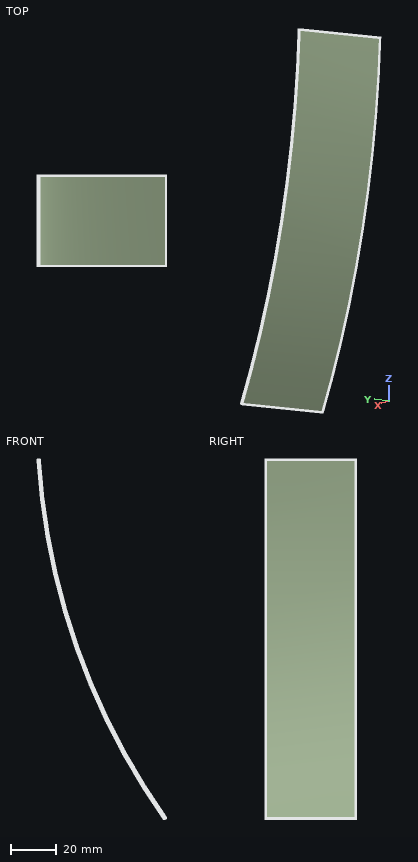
import cadquery as cq
import math

OUTER_RADIUS = 310.0
THICKNESS = 1.0
STRIP_WIDTH = 40.0
START_ANGLE = 3.636
END_ANGLE = 35.191

INNER_RADIUS = OUTER_RADIUS - THICKNESS
MIDDLE_ANGLE = (START_ANGLE + END_ANGLE) / 2


def arc_point(radius, angle):
    """Point on an arc about the origin, on its -X side and the given angle below horizontal."""
    turn = math.radians(angle)
    return (-radius * math.cos(turn), -radius * math.sin(turn))


def curved_strip():
    """Thin cylindrical strip with radial ends, centred on Y = 0."""
    return (
        cq.Workplane("XZ")
        .moveTo(*arc_point(OUTER_RADIUS, START_ANGLE))
        .threePointArc(arc_point(OUTER_RADIUS, MIDDLE_ANGLE), arc_point(OUTER_RADIUS, END_ANGLE))
        .lineTo(*arc_point(INNER_RADIUS, END_ANGLE))
        .threePointArc(arc_point(INNER_RADIUS, MIDDLE_ANGLE), arc_point(INNER_RADIUS, START_ANGLE))
        .close()
        .extrude(STRIP_WIDTH / 2, both=True)
    )


result = curved_strip()